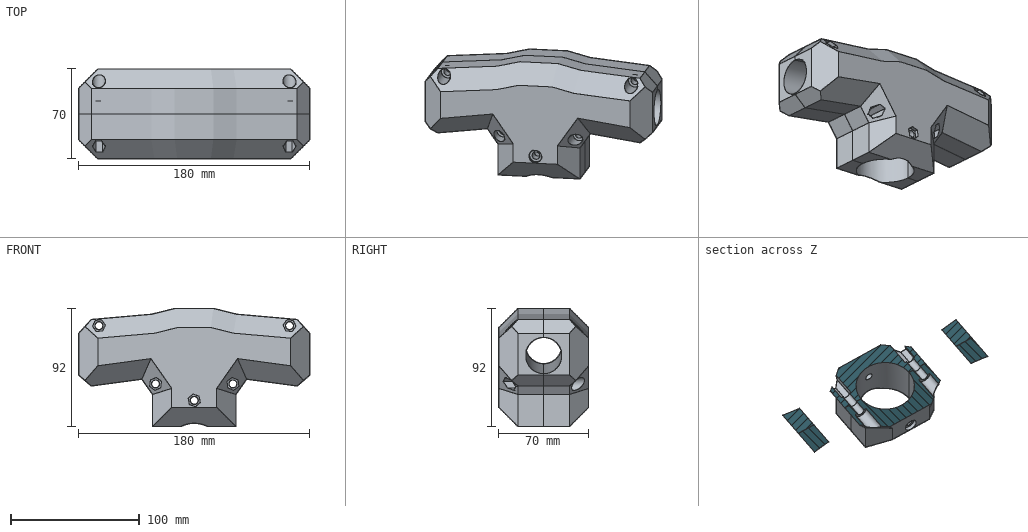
import cadquery as cq
import math

half_length = 90.0
height = 92.0
crown_half_width = 15.0
shoulder_x = 33.2
shoulder_z = 87.5
arm_tilt = 5.0
arm_slope = math.tan(math.radians(arm_tilt))
arm_end_top_z = shoulder_z - arm_slope * (half_length - shoulder_x)
arm_end_bottom_z = 30.15
brace_top_x = 40.75
brace_top_z = 36.8
stem_half_width = 32.5
stem_height = 25.0

half_depth = 35.0
bevel = 15.0
end_chamfer = 10.0

arm_bore_diameter = 28.0
arm_bore_end_z = 55.2
arm_bore_rise = arm_slope * half_length
stem_bore_diameter = 45.0
stem_bore_depth = 40.0

screw_diameter = 6.0
recess_diameter = 10.0
nut_sides = 6
arm_screw_x = 74.1
arm_screw_z = 78.5
brace_screw_x = 30.1
brace_screw_z = 33.2
stem_screw_z = 20.4

side_recess_floor = 10.0
stem_recess_floor = 32.0

arm_nut_turn = arm_tilt
brace_nut_turn = 23.0
stem_nut_turn = 41.0

screws = [
    (-arm_screw_x, arm_screw_z, side_recess_floor, arm_nut_turn),
    (arm_screw_x, arm_screw_z, side_recess_floor, -arm_nut_turn),
    (-brace_screw_x, brace_screw_z, side_recess_floor, brace_nut_turn),
    (brace_screw_x, brace_screw_z, side_recess_floor, -brace_nut_turn),
    (0.0, stem_screw_z, stem_recess_floor, stem_nut_turn),
]


def outline_points():
    right = [
        (stem_half_width, 0),
        (stem_half_width, stem_height),
        (brace_top_x, brace_top_z),
        (half_length, arm_end_bottom_z),
        (half_length, arm_end_top_z),
        (shoulder_x, shoulder_z),
        (crown_half_width, height),
    ]
    left = [(-x, z) for x, z in reversed(right)]
    return right + left


def make_blank():
    """Solid tee: outline bevelled at the front and back faces, then chamfered at the arm ends."""
    back_plane = cq.Workplane("XZ", origin=(0, half_depth, 0))
    blank = back_plane.polyline(outline_points()).close().extrude(2 * half_depth)
    blank = blank.faces("<Y or >Y").chamfer(bevel)
    return blank.faces("<X or >X").edges("|Y").chamfer(end_chamfer)


def make_bores():
    """Two sloping arm bores that meet at the middle plane, and a blind bore up the stem."""
    axis = cq.Vector(half_length, 0, arm_bore_rise)
    end_centre = cq.Vector(-half_length, 0, arm_bore_end_z)
    rod = cq.Solid.makeCylinder(arm_bore_diameter / 2, 3 * axis.Length, end_centre - axis, axis)
    left_half = cq.Workplane("XY").box(2 * half_length, 2 * half_depth, 2 * height)
    left_half = left_half.translate((-half_length, 0, arm_bore_end_z))
    left_arm = left_half.intersect(cq.Workplane(rod))
    right_arm = left_arm.mirror("YZ")
    stem = cq.Workplane("XY").circle(stem_bore_diameter / 2).extrude(stem_bore_depth)
    return left_arm, right_arm, stem


def make_screw_cut(x, z, floor, nut_turn):
    recess_depth = half_depth - floor
    back_plane = cq.Workplane("XZ", origin=(x, half_depth, z))
    shank = back_plane.circle(screw_diameter / 2).extrude(2 * half_depth)
    head = back_plane.circle(recess_diameter / 2).extrude(recess_depth)
    nut_plane = cq.Workplane("XZ", origin=(x, -floor, z)).transformed(rotate=(0, 0, nut_turn))
    nut = nut_plane.polygon(nut_sides, recess_diameter).extrude(recess_depth)
    return shank.union(head).union(nut)


def make_tee():
    tee = make_blank()
    for bore in make_bores():
        tee = tee.cut(bore)
    for screw in screws:
        tee = tee.cut(make_screw_cut(*screw))
    return tee


def make_shell(tee, side):
    """Half of the tee on one side of the Y = 0 parting plane: side is -1 for front, 1 for back."""
    half_space = cq.Workplane("XY").box(2 * half_length, half_depth, height, centered=(True, True, False))
    half_space = half_space.translate((0, side * half_depth / 2, 0))
    return tee.intersect(half_space).solids()


whole_tee = make_tee()
front_shell = make_shell(whole_tee, -1)
back_shell = make_shell(whole_tee, 1)

result = cq.Compound.makeCompound([front_shell.val(), back_shell.val()])